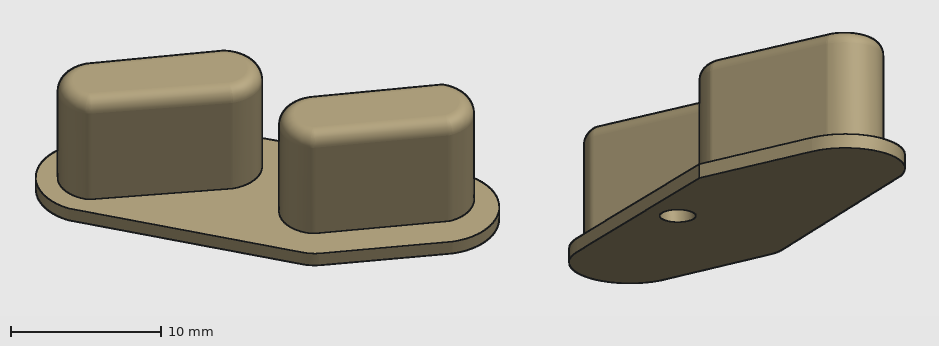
import cadquery as cq

total_height = 9.0
plate_thickness = 1.0
post_height = total_height - plate_thickness
post_rounding = 1.0
hole_diameter = 2.4

plate_top_y = 2.37
plate_bottom_y = -9.28
plate_right_radius = 4.05
plate_right_center_x = 9.37
bottom_corner_radius = 2.68

upper_left_corner = (-7.03, plate_top_y)
left_arc_start = (-15.2, -1.6)
left_arc_middle = (-17.4, -5.18)
left_arc_end = (-14.12, -9.05)
bottom_corner_start = (2.13, plate_bottom_y)
bottom_corner_end = (3.33, -9.05)
right_arc_start = (11.4, -5.18)
right_arc_middle = (plate_right_center_x + plate_right_radius, plate_top_y - plate_right_radius)
right_arc_end = (plate_right_center_x, plate_top_y)


def make_plate():
    outline = (
        cq.Workplane("XY")
        .moveTo(*upper_left_corner)
        .lineTo(*left_arc_start)
        .threePointArc(left_arc_middle, left_arc_end)
        .lineTo(*bottom_corner_start)
        .radiusArc(bottom_corner_end, -bottom_corner_radius)
        .lineTo(*right_arc_start)
        .threePointArc(right_arc_middle, right_arc_end)
        .close()
    )
    return outline.extrude(plate_thickness)


def make_post(upper_left, lower_left, lower_right, upper_right, left_radius, right_radius):
    """Slanted post with straight flanks and arc ends, rounded on its corners and top rim."""
    outline = (
        cq.Workplane("XY")
        .workplane(offset=plate_thickness)
        .moveTo(*upper_left)
        .radiusArc(lower_left, -left_radius)
        .lineTo(*lower_right)
        .radiusArc(upper_right, -right_radius)
        .close()
    )
    return outline.extrude(post_height).edges("|Z or >Z").fillet(post_rounding)


left_post = make_post(
    upper_left=(-14.8, -2.95),
    lower_left=(-13.13, -7.7),
    lower_right=(-4.38, -3.73),
    upper_right=(-6.5, 1.15),
    left_radius=2.6,
    right_radius=2.68,
)
right_post = make_post(
    upper_left=(0.62, -2.2),
    lower_left=(2.28, -7.03),
    lower_right=(10.57, -3.0),
    upper_right=(8.6, 1.75),
    left_radius=2.6,
    right_radius=2.7,
)

hole = cq.Workplane("XY").circle(hole_diameter / 2).extrude(plate_thickness)

result = make_plate().cut(hole).union(left_post).union(right_post)